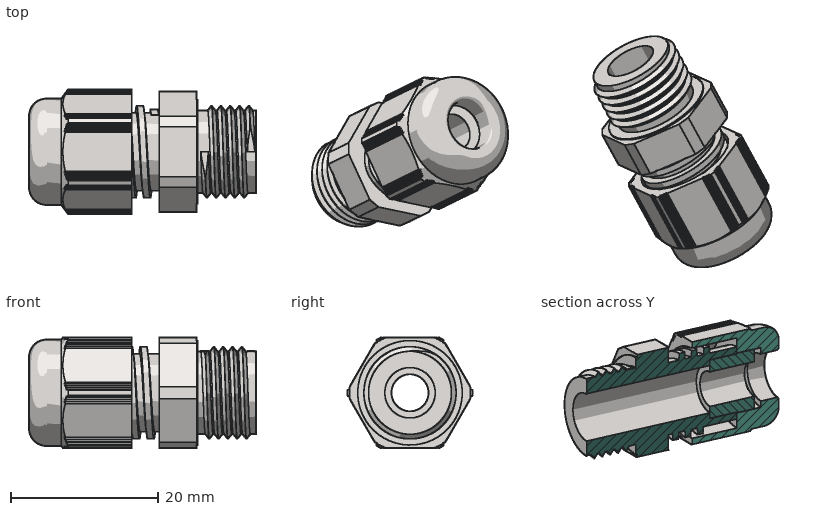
import cadquery as cq
import math


LENGTH = 30.83
HEX_FLATS = 15.0
SEAL_DIAMETER = 8.63

CAP_END = 13.97
DOME_DIAMETER = 14.5
DOME_ROUND = 2.45
DOME_END = 4.4
MOUTH_DIAMETER = 6.8
MOUTH_ROUND = 0.5
MOUTH_DEPTH = 2.95
CAP_CORNERS = 16.95
CAP_TAPER_LENGTH = 0.92
CAP_BORE_DIAMETER = 13.1
CAP_BORE_START = 6.78

GROOVES_PER_SIDE = 4
GROOVE_WIDTH = 0.293
GROOVE_ANGLE = 60.0
GROOVE_START = 2.65

SEAL_START = 3.98
SEAL_END = 11.1
SEAL_HOLE = 5.0

BODY_START = CAP_BORE_START
NECK_DIAMETER = 10.6
BODY_HEX_START = 17.67
BODY_HEX_END = 22.75
BODY_CORNERS = 16.4
COLLAR_DIAMETER = 14.18
COLLAR_END = 22.95
END_DIAMETER = 11.25
BODY_BORE_DIAMETER = 6.85
THREAD_DIAMETER = 12.52

NECK_PITCH = 1.97
NECK_TURNS = 3
NECK_THREAD_END = 17.15
NECK_END_ANGLE = 290.0
NECK_BASE = 1.08
NECK_CREST = 0.85
NECK_FADE = 56.0

END_PITCH = 1.25
END_TURNS = 5
END_THREAD_START = 23.83
END_BASE = 1.05
END_CREST = 0.03
END_FADE = 40.0

FADED_HEIGHT = 0.045
THREAD_SINK = 0.1
POINTS_PER_TURN = 36


def cylinder(diameter, start, end):
    """Cylinder along X."""
    return cq.Workplane("YZ", origin=(start, 0, 0)).circle(diameter / 2).extrude(end - start)


def hexagon(across_flats, start, end, turn=0.0):
    """Hexagonal prism along X; flats face up and down when turn is 0."""
    corner_diameter = across_flats / math.cos(math.pi / 6)
    prism = cq.Workplane("YZ", origin=(start, 0, 0)).polygon(6, corner_diameter).extrude(end - start)
    return prism.rotate((0, 0, 0), (1, 0, 0), turn)


def blunt_hexagon(across_flats, across_corners, start, end):
    """Hexagonal prism with its corners cut flat."""
    return hexagon(across_flats, start, end).intersect(hexagon(across_corners, start, end, 30.0))


def thread(core_diameter, pitch, turns, start, start_angle, base, crest, fade):
    """Helical ridge that rises from its core at one end and falls back at the other.

    Angles run from +Z towards -Y as X grows. Near the ends the profile is cut off lower,
    so its top gets wider as its height falls.
    """
    core = core_diameter / 2
    full_height = THREAD_DIAMETER / 2 - core
    flank_run = (base - crest) / 2 / full_height
    foot_half = base / 2 + flank_run * THREAD_SINK
    count = turns * POINTS_PER_TURN
    angles = [360.0 * turns * i / count for i in range(count + 1)]

    def height(turned):
        rise = min(turned, 360.0 * turns - turned, fade) / fade
        smooth_rise = rise * rise * (3 - 2 * rise)
        return FADED_HEIGHT + (full_height - FADED_HEIGHT) * smooth_rise

    def point(turned, radius, offset):
        angle = math.radians(start_angle + turned)
        x = start + pitch * turned / 360.0 + offset
        return cq.Vector(x, -radius * math.sin(angle), radius * math.cos(angle))

    def foot_edge(side):
        return cq.Edge.makeSpline([point(a, core - THREAD_SINK, side * foot_half) for a in angles])

    def top_edge(side):
        points = []
        for turned in angles:
            h = height(turned)
            points.append(point(turned, core + h, side * (base / 2 - flank_run * h)))
        return cq.Edge.makeSpline(points)

    edges = [foot_edge(-1), top_edge(-1), top_edge(1), foot_edge(1)]
    faces = [cq.Face.makeRuledSurface(edges[i], edges[(i + 1) % 4]) for i in range(4)]
    for ends in ([e.startPoint() for e in edges], [e.endPoint() for e in edges]):
        faces.append(cq.Face.makeFromWires(cq.Wire.makePolygon(ends, close=True)))
    ridge = cq.Solid.makeSolid(cq.Shell.makeShell(faces))
    return cq.Workplane(ridge.fix())


def grip_grooves():
    """V grooves beside both corners of every hexagon face, as a list of cutters."""
    depth = GROOVE_WIDTH / 2 / math.tan(math.radians(GROOVE_ANGLE / 2))
    surface = HEX_FLATS / 2
    face_grooves = cq.Workplane("YZ", origin=(DOME_END, 0, 0))
    for side in (-1, 1):
        for i in range(GROOVES_PER_SIDE):
            near = GROOVE_START + i * GROOVE_WIDTH
            far = near + GROOVE_WIDTH
            corners = [(side * near, surface), (side * far, surface),
                       (side * (near + far) / 2, surface - depth)]
            face_grooves = face_grooves.polyline(corners).close()
    cutters = face_grooves.extrude(CAP_END - DOME_END).vals()
    return [g.rotate(cq.Vector(0, 0, 0), cq.Vector(1, 0, 0), 60.0 * face)
            for face in range(6) for g in cutters]


def make_cap():
    dome_radius = DOME_DIAMETER / 2
    corner_radius = CAP_CORNERS / 2
    mouth_radius = MOUTH_DIAMETER / 2
    taper_end = DOME_END + CAP_TAPER_LENGTH
    margin = 0.3
    envelope_radius = corner_radius + margin
    envelope_end = taper_end + margin * CAP_TAPER_LENGTH / (corner_radius - dome_radius)
    taper = (
        cq.Workplane("XY")
        .moveTo(DOME_END, 0)
        .lineTo(DOME_END, dome_radius)
        .lineTo(envelope_end, envelope_radius)
        .lineTo(CAP_END, envelope_radius)
        .lineTo(CAP_END, 0)
        .close()
        .revolve(360, (0, 0, 0), (1, 0, 0))
    )
    grip = blunt_hexagon(HEX_FLATS, CAP_CORNERS, DOME_END, CAP_END).intersect(taper)
    grip = cq.Workplane(grip.val().cut(*grip_grooves()))
    dome = cylinder(DOME_DIAMETER, 0, DOME_END).faces("<X").edges().fillet(DOME_ROUND)
    cap = dome.union(grip)

    mouth_slope = MOUTH_ROUND * (1 - math.sqrt(0.5))
    mouth = (
        cq.Workplane("XY")
        .moveTo(0, 0)
        .lineTo(0, mouth_radius + MOUTH_ROUND)
        .threePointArc((mouth_slope, mouth_radius + mouth_slope), (MOUTH_ROUND, mouth_radius))
        .lineTo(MOUTH_DEPTH, mouth_radius)
        .lineTo(MOUTH_DEPTH, 0)
        .close()
        .revolve(360, (0, 0, 0), (1, 0, 0))
    )
    seal_pocket = cylinder(SEAL_DIAMETER, MOUTH_DEPTH, CAP_BORE_START)
    bore = cylinder(CAP_BORE_DIAMETER, CAP_BORE_START, CAP_END)
    return cap.cut(mouth).cut(seal_pocket).cut(bore)


def make_seal():
    return cylinder(SEAL_DIAMETER, SEAL_START, SEAL_END).cut(cylinder(SEAL_HOLE, SEAL_START, SEAL_END))


def make_body():
    neck = cylinder(NECK_DIAMETER, BODY_START, BODY_HEX_START)
    neck_thread_start = NECK_THREAD_END - NECK_TURNS * NECK_PITCH
    neck_thread = thread(NECK_DIAMETER, NECK_PITCH, NECK_TURNS, neck_thread_start, NECK_END_ANGLE,
                         NECK_BASE, NECK_CREST, NECK_FADE)
    wrench_hex = blunt_hexagon(HEX_FLATS, BODY_CORNERS, BODY_HEX_START, BODY_HEX_END)
    collar = cylinder(COLLAR_DIAMETER, BODY_HEX_END, COLLAR_END)
    threaded_end = cylinder(END_DIAMETER, COLLAR_END, LENGTH)
    end_thread = thread(END_DIAMETER, END_PITCH, END_TURNS, END_THREAD_START, 0.0,
                        END_BASE, END_CREST, END_FADE)
    body = (
        neck.union(neck_thread)
        .union(wrench_hex)
        .union(collar)
        .union(threaded_end.union(end_thread))
    )
    seal_pocket = cylinder(SEAL_DIAMETER, BODY_START, SEAL_END)
    bore = cylinder(BODY_BORE_DIAMETER, SEAL_END, LENGTH)
    return body.cut(seal_pocket).cut(bore)


cap = make_cap()
seal = make_seal()
body = make_body()

result = cq.Compound.makeCompound([cap.solids().val(), seal.solids().val(), body.solids().val()])